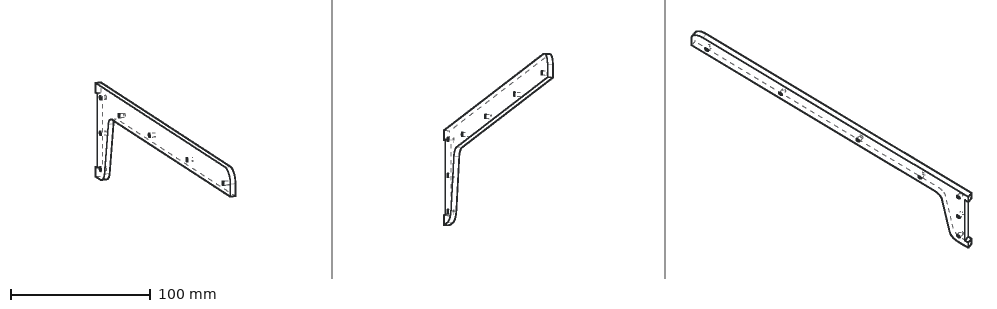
import cadquery as cq
import math

length = 242.0
height = 70.0
thickness = 4.0

arm_depth = 19.5
arm_corner_radius = 10.0

leg_bottom_width = 15.2
leg_taper_angle = 10.0
inner_corner_radius = 6.0
leg_corner_radius = 8.0

notch_depth = 3.0
lug_height = 7.3

hole_diameter = 3.0
leg_hole_x = 8.7
leg_hole_top_offset = 8.7
leg_hole_spacing = 26.5
leg_hole_count = 3
arm_hole_xs = [42.3, 96.5, 164.0, 228.5]
arm_hole_top_offset = 13.0

arm_bottom_z = height - arm_depth
leg_top_width = leg_bottom_width + arm_bottom_z * math.tan(math.radians(leg_taper_angle))


def at_point(x, z):
    """Select the through-thickness edge at one corner of the outline."""
    return cq.selectors.NearestToPointSelector((x, thickness / 2, z))


def make_plate():
    """Extrude the bracket outline and round its three smooth corners."""
    plate = (
        cq.Workplane("XZ")
        .moveTo(0, 0)
        .lineTo(leg_bottom_width, 0)
        .lineTo(leg_top_width, arm_bottom_z)
        .lineTo(length, arm_bottom_z)
        .lineTo(length, height)
        .lineTo(0, height)
        .lineTo(0, height - lug_height)
        .lineTo(notch_depth, height - lug_height)
        .lineTo(notch_depth, lug_height)
        .lineTo(0, lug_height)
        .close()
        .extrude(-thickness)
    )
    rounded_corners = [
        (length, height, arm_corner_radius),
        (leg_top_width, arm_bottom_z, inner_corner_radius),
        (leg_bottom_width, 0, leg_corner_radius),
    ]
    for x, z, radius in rounded_corners:
        plate = plate.edges("|Y").edges(at_point(x, z)).fillet(radius)
    return plate


def make_hole_pins():
    """Pins that cut the screw holes through the leg and the arm."""
    leg_points = [
        (leg_hole_x, height - leg_hole_top_offset - i * leg_hole_spacing)
        for i in range(leg_hole_count)
    ]
    arm_points = [(x, height - arm_hole_top_offset) for x in arm_hole_xs]
    return (
        cq.Workplane("XZ")
        .pushPoints(leg_points + arm_points)
        .circle(hole_diameter / 2)
        .extrude(-thickness)
    )


result = make_plate().cut(make_hole_pins())